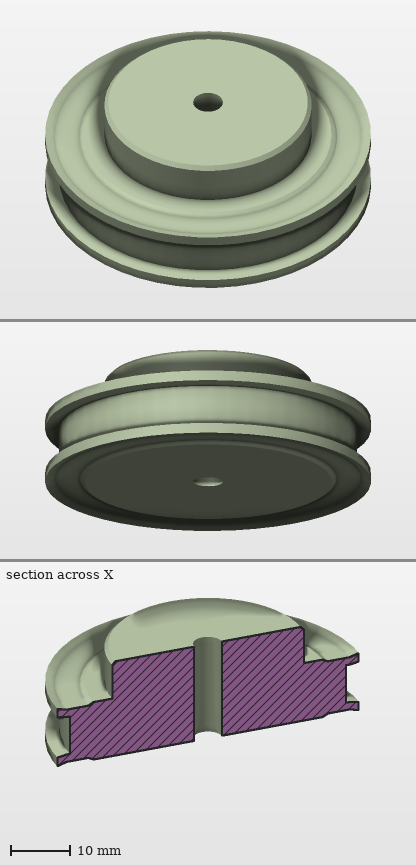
import cadquery as cq

flange_diameter = 55.0
drum_diameter = 50.4
hub_diameter = 35.0
bore_diameter = 5.0

total_height = 18.0
drum_height = 11.0
rim_thickness = 1.7
hub_chamfer = 0.65

bend_diameter = 51.7
end_bend_depth = 0.5
groove_bend_depth = 0.3

land_top_diameter = 41.7
land_base_diameter = 43.55

flange_radius = flange_diameter / 2
drum_radius = drum_diameter / 2
bend_radius = bend_diameter / 2
land_top_radius = land_top_diameter / 2
land_base_radius = land_base_diameter / 2
flat_top = drum_height - end_bend_depth
groove_bottom = rim_thickness + groove_bend_depth
groove_top = drum_height - groove_bottom

drum_section = (
    cq.Workplane("XZ")
    .moveTo(0, 0)
    .lineTo(land_top_radius, 0)
    .lineTo(land_base_radius, end_bend_depth)
    .lineTo(bend_radius, end_bend_depth)
    .lineTo(flange_radius, 0)
    .lineTo(flange_radius, rim_thickness)
    .lineTo(bend_radius, groove_bottom)
    .lineTo(drum_radius, groove_bottom)
    .lineTo(drum_radius, groove_top)
    .lineTo(bend_radius, groove_top)
    .lineTo(flange_radius, drum_height - rim_thickness)
    .lineTo(flange_radius, drum_height)
    .lineTo(bend_radius, flat_top)
    .lineTo(land_base_radius, flat_top)
    .lineTo(land_top_radius, drum_height)
    .lineTo(0, drum_height)
    .close()
)
drum = drum_section.revolve(360, (0, 0, 0), (0, 1, 0))

hub = (
    cq.Workplane("XY")
    .workplane(offset=drum_height)
    .circle(hub_diameter / 2)
    .extrude(total_height - drum_height)
    .faces(">Z")
    .edges()
    .chamfer(hub_chamfer)
)

bore = cq.Workplane("XY").circle(bore_diameter / 2).extrude(total_height)

result = drum.union(hub).cut(bore)